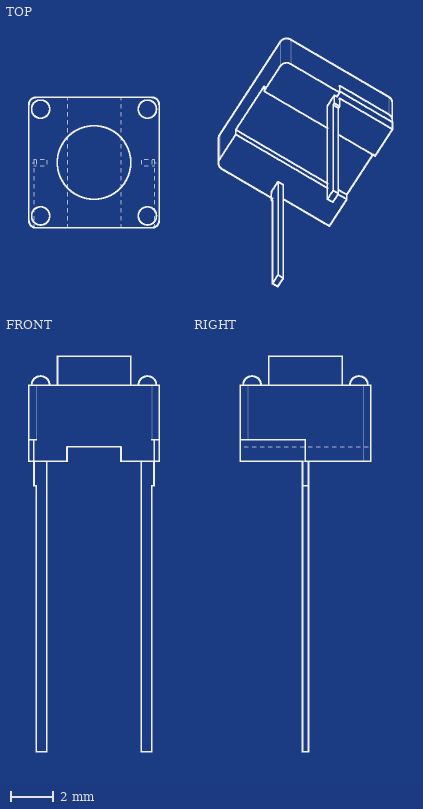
import cadquery as cq

total_height = 18.78
body_width = 6.2
body_height = 3.62
corner_radius = 0.35

button_diameter = 3.5
button_height = 1.37
stud_radius = 0.43
stud_spacing = 5.07

notch_width = 2.55
notch_height = 0.7
recess_depth = 0.25
recess_height = 1.03

lead_thickness = 0.3
lead_width = 0.5
lead_inner_x = 2.23
shoulder_length = 1.16

half_width = body_width / 2
recessed_half_width = half_width - recess_depth
lead_length = total_height - body_height - button_height


def make_body():
    """Housing block resting on Z = 0, with its front lower sides set in."""
    block = cq.Workplane("XY").box(body_width, body_width, body_height, centered=(True, True, False))
    block = block.edges("|Z").fillet(corner_radius)

    front_base_space = cq.Workplane("XY").box(
        body_width, half_width, recess_height, centered=(True, False, False)
    ).translate((0, -half_width, 0))
    front_base = cq.Workplane("XY").box(
        2 * recessed_half_width, half_width, recess_height, centered=(True, False, False)
    ).translate((0, -half_width, 0))
    block = block.cut(front_base_space).union(front_base)

    notch = cq.Workplane("XY").box(notch_width, body_width, notch_height, centered=(True, True, False))
    return block.cut(notch)


def make_button():
    """Round push button on top of the housing."""
    return cq.Workplane("XY").workplane(offset=body_height).circle(button_diameter / 2).extrude(button_height)


def make_studs():
    """Domed studs near the four top corners; their lower halves lie inside the housing."""
    return (
        cq.Workplane("XY")
        .workplane(offset=body_height)
        .rect(stud_spacing, stud_spacing, forConstruction=True)
        .vertices()
        .sphere(stud_radius)
    )


def make_lead(side):
    """Flat lead below the housing with a wider shoulder; side is -1 or 1 along X."""
    lead_outer_x = lead_inner_x + lead_width
    outline = [
        (side * lead_inner_x, 0),
        (side * recessed_half_width, 0),
        (side * recessed_half_width, -shoulder_length),
        (side * lead_outer_x, -shoulder_length),
        (side * lead_outer_x, -lead_length),
        (side * lead_inner_x, -lead_length),
    ]
    return cq.Workplane("XZ").polyline(outline).close().extrude(lead_thickness / 2, both=True)


result = make_body().union(make_button()).union(make_studs())
for side in (-1, 1):
    result = result.union(make_lead(side))